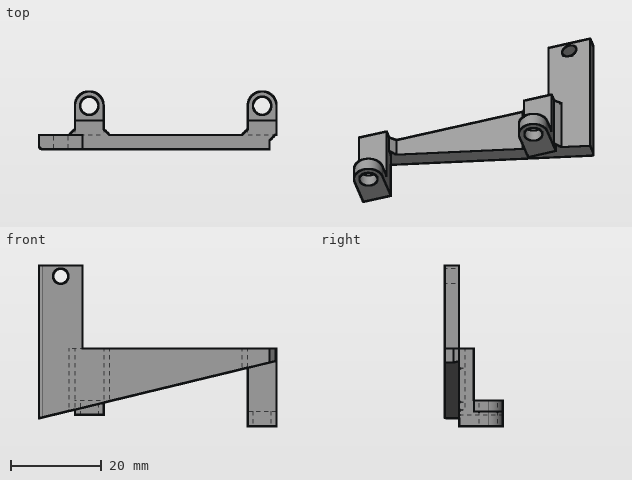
import cadquery as cq

length = 52.35
height = 35.45
thickness = 3.2

arm_top = 17.2
post_width = 9.65
post_bottom = 1.75
tip_bottom = 14.35
edge_radius = 0.8
post_hole_diameter = 3.3
post_hole_x = post_width / 2
post_hole_z = height - 2.4

bracket_width = 2 * thickness
foot_hole_diameter = 4.0
foot_hole_y = 3 * thickness
flare = 1.25
left_bracket_x = 7.9
right_bracket_x = length - bracket_width
left_foot_bottom = 2.5
right_foot_bottom = 0.0

tip_x = length - 0.25
front_tip_x = tip_x - flare


def side_profile():
    """L-shaped outline with the sloping underside, drawn in X and Z."""
    return [
        (0, post_bottom),
        (tip_x, tip_bottom),
        (tip_x, arm_top),
        (post_width, arm_top),
        (post_width, height),
        (0, height),
    ]


def extrude_profile(y_start, depth):
    """Side profile extruded towards +Y from y_start."""
    return cq.Workplane("XZ", origin=(0, y_start, 0)).polyline(side_profile()).close().extrude(-depth)


def make_plate():
    plate = extrude_profile(0, thickness)
    plate = plate.edges("|Z and <X and <Y").fillet(edge_radius)
    tip_cut = (
        cq.Workplane("XY")
        .polyline([
            (front_tip_x, 0),
            (length, 0),
            (length, thickness),
            (tip_x, thickness),
            (front_tip_x, thickness - flare),
        ])
        .close()
        .extrude(height)
    )
    post_hole = (
        cq.Workplane("XZ")
        .center(post_hole_x, post_hole_z)
        .circle(post_hole_diameter / 2)
        .extrude(-thickness)
    )
    return plate.cut(tip_cut).cut(post_hole)


def make_bracket(left, foot_bottom):
    """Wall behind the plate with a round-ended, drilled foot."""
    wall = cq.Workplane("XY").box(bracket_width, thickness, arm_top - foot_bottom, centered=False)
    wall = wall.translate((left, thickness, foot_bottom))
    center_x = left + bracket_width / 2
    foot = (
        cq.Workplane("XY", origin=(0, 0, foot_bottom))
        .moveTo(left, thickness)
        .lineTo(left + bracket_width, thickness)
        .lineTo(left + bracket_width, foot_hole_y)
        .threePointArc((center_x, foot_hole_y + bracket_width / 2), (left, foot_hole_y))
        .close()
        .extrude(thickness)
    )
    hole = (
        cq.Workplane("XY", origin=(center_x, foot_hole_y, foot_bottom))
        .circle(foot_hole_diameter / 2)
        .extrude(thickness)
    )
    return wall.union(foot).cut(hole)


def make_flare(side_x, outward):
    """45 degree fillet strip between a bracket side and the plate, ending at the underside slope."""
    strip = (
        cq.Workplane("XY")
        .polyline([
            (side_x, thickness),
            (side_x + outward * flare, thickness),
            (side_x, thickness + flare),
        ])
        .close()
        .extrude(arm_top)
    )
    return strip.intersect(extrude_profile(thickness, flare))


result = make_plate()
for left, foot_bottom in ((left_bracket_x, left_foot_bottom), (right_bracket_x, right_foot_bottom)):
    result = result.union(make_bracket(left, foot_bottom))
    result = result.union(make_flare(left, -1))
result = result.union(make_flare(left_bracket_x + bracket_width, 1))